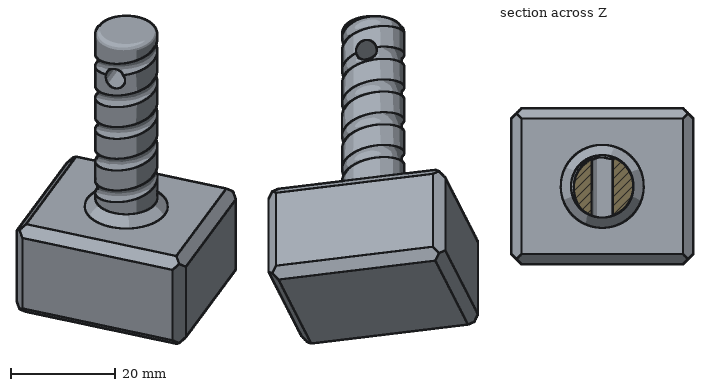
import cadquery as cq

HEAD_X = 35.0
HEAD_Y = 30.0
HEAD_Z = 20.0
HEAD_BEVEL = 2.0

TOTAL_HEIGHT = 60.0
HANDLE_RADIUS = 12.0 / 2
TOP_ROUND = 1.0
COLLAR_SIZE = 2.0

HOLE_DIAMETER = 4.0
HOLE_DROP = 7.6

GROOVE_START_Z = 24.0
GROOVE_TURNS = 5
GROOVE_PITCH = (TOTAL_HEIGHT - GROOVE_START_Z) / GROOVE_TURNS
GROOVE_CUTTER_RADIUS = 1.9
GROOVE_DEPTH = 0.55


def make_head():
    """Common volume of three blocks, each bevelled along one axis, so the bevels meet in mitres."""
    block = cq.Workplane("XY").box(HEAD_X, HEAD_Y, HEAD_Z, centered=(True, True, False))
    head = block
    for axis in ("X", "Y", "Z"):
        head = head.intersect(block.edges("|" + axis).chamfer(HEAD_BEVEL))
    return head


def make_handle():
    """Revolved half-profile: collar cone, bar and rounded top edge."""
    profile = (
        cq.Workplane("YZ")
        .moveTo(0, HEAD_Z / 2)
        .lineTo(HANDLE_RADIUS + COLLAR_SIZE, HEAD_Z / 2)
        .lineTo(HANDLE_RADIUS + COLLAR_SIZE, HEAD_Z)
        .lineTo(HANDLE_RADIUS, HEAD_Z + COLLAR_SIZE)
        .lineTo(HANDLE_RADIUS, TOTAL_HEIGHT - TOP_ROUND)
        .tangentArcPoint((-TOP_ROUND, TOP_ROUND))
        .lineTo(0, TOTAL_HEIGHT)
        .close()
    )
    return profile.revolve(360, (0, 0, 0), (0, 1, 0))


def make_groove_cutter():
    """Circle swept along a helix whose axis is the handle axis."""
    path_radius = HANDLE_RADIUS + GROOVE_CUTTER_RADIUS - GROOVE_DEPTH
    helix = cq.Wire.makeHelix(GROOVE_PITCH, GROOVE_PITCH * GROOVE_TURNS, path_radius)
    cutter = (
        cq.Workplane("XZ")
        .center(path_radius, 0)
        .circle(GROOVE_CUTTER_RADIUS)
        .sweep(cq.Workplane(obj=helix), isFrenet=True)
    )
    return cutter.rotate((0, 0, 0), (0, 0, 1), 180).translate((0, 0, GROOVE_START_Z))


def make_cross_hole():
    half_length = 2 * HANDLE_RADIUS
    return (
        cq.Workplane("XZ")
        .center(0, TOTAL_HEIGHT - HOLE_DROP)
        .circle(HOLE_DIAMETER / 2)
        .extrude(half_length, both=True)
    )


handle = make_handle().cut(make_groove_cutter()).cut(make_cross_hole())
result = make_head().union(handle)